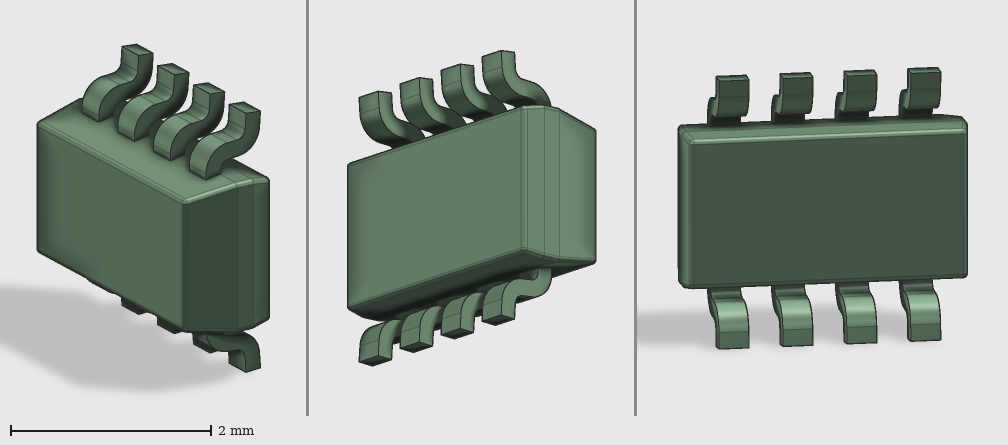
import cadquery as cq
import math


housing_length = 2.9
housing_height = 1.6
rear_depth = 0.235
belt_depth = 0.195
front_depth = 0.57
draft_angle = 10.0
edge_radius = 0.05

leads_per_side = 4
lead_pitch = 0.65
lead_width = 0.305
lead_thickness = 0.175
lead_span = 2.77
standoff = 0.06
lead_tilt = 4.0
inner_radius = 0.102
foot_length = 0.168
middle_length = 0.115

outer_radius = inner_radius + lead_thickness
belt_rear_y = -rear_depth
belt_front_y = belt_rear_y - belt_depth


def slab(y_start, depth, taper=0.0):
    """Rectangular slab of the housing's full size at y_start; a negative depth grows towards +Y."""
    plane = cq.Plane(origin=(0, y_start, 0), xDir=(1, 0, 0), normal=(0, -1, 0))
    return cq.Workplane(plane).rect(housing_length, housing_height).extrude(depth, taper=taper)


def edges_near(y):
    """Selector for the edges whose centres lie at a given depth, within a quarter of the belt."""
    margin = belt_depth / 4
    return cq.selectors.BoxSelector(
        (-housing_length, y - margin, -housing_height),
        (housing_length, y + margin, housing_height),
    )


def make_housing():
    """Straight belt with a drafted block on each side and every edge but the belt lines rounded."""
    body = slab(belt_rear_y, belt_depth)
    body = body.union(slab(belt_front_y, front_depth, draft_angle))
    body = body.union(slab(belt_rear_y, -rear_depth, draft_angle))

    belt_lines = edges_near(belt_rear_y) + edges_near(belt_front_y)
    rounded = body.edges(cq.selectors.InverseSelector(belt_lines)).fillet(edge_radius)
    return rounded.solids()


def polar(center, radius, angle):
    """Point (y, z) at an angle in degrees, counted from +Y towards +Z."""
    turn = math.radians(angle)
    return center[0] + radius * math.cos(turn), center[1] + radius * math.sin(turn)


def make_lead(x_center, housing):
    """Gull-wing lead above the housing, ending flush on the housing's surface."""
    foot_bend_start = -lead_tilt
    foot_bend_end = lead_tilt - 90
    body_bend_start = 90 + lead_tilt
    body_bend_end = 180
    foot_bend_mid = (foot_bend_start + foot_bend_end) / 2
    body_bend_mid = (body_bend_start + body_bend_end) / 2

    toe_front = (standoff - lead_thickness * math.cos(math.radians(lead_tilt)), lead_span / 2)
    toe_rear = polar(toe_front, lead_thickness, -lead_tilt)

    foot_inner_end = polar(toe_front, foot_length, -90 - lead_tilt)
    foot_center = polar(foot_inner_end, inner_radius, 180 - lead_tilt)
    middle_upper_start = polar(foot_center, inner_radius, foot_bend_end)
    middle_upper_end = polar(middle_upper_start, middle_length, 180 + lead_tilt)
    body_center = polar(middle_upper_end, outer_radius, foot_bend_end)

    root_z = housing_height / 2 - front_depth * math.tan(math.radians(draft_angle))

    profile = (
        cq.Workplane("YZ", origin=(x_center - lead_width / 2, 0, 0))
        .moveTo(*toe_front)
        .lineTo(*foot_inner_end)
        .threePointArc(polar(foot_center, inner_radius, foot_bend_mid), middle_upper_start)
        .lineTo(*middle_upper_end)
        .threePointArc(
            polar(body_center, outer_radius, body_bend_mid),
            polar(body_center, outer_radius, body_bend_end),
        )
        .lineTo(body_center[0] - outer_radius, root_z)
        .lineTo(body_center[0] - inner_radius, root_z)
        .lineTo(*polar(body_center, inner_radius, body_bend_end))
        .threePointArc(
            polar(body_center, inner_radius, body_bend_mid),
            polar(body_center, inner_radius, body_bend_start),
        )
        .lineTo(*polar(foot_center, outer_radius, foot_bend_end))
        .threePointArc(
            polar(foot_center, outer_radius, foot_bend_mid),
            polar(foot_center, outer_radius, foot_bend_start),
        )
        .lineTo(*toe_rear)
        .close()
    )
    return profile.extrude(lead_width).cut(housing).solids()


housing = make_housing()

leads = []
for position in range(leads_per_side):
    x_center = (position - (leads_per_side - 1) / 2) * lead_pitch
    upper_lead = make_lead(x_center, housing).val()
    leads.append(upper_lead)
    leads.append(upper_lead.mirror("XY"))

result = cq.Compound.makeCompound([housing.val(), *leads])